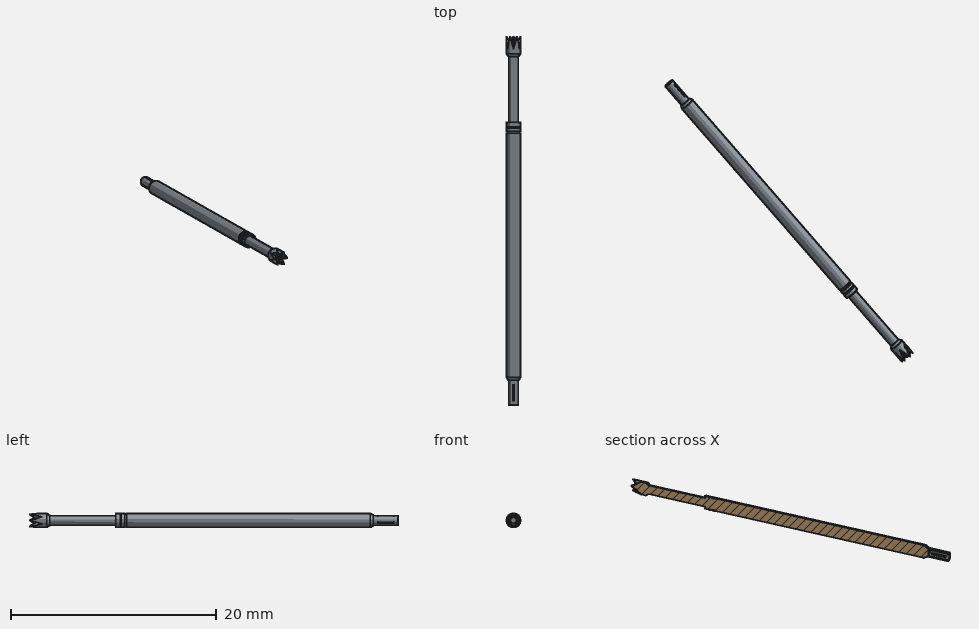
import cadquery as cq
import math

TOTAL_LENGTH = 35.81
TIP_Y = TOTAL_LENGTH / 2
TAIL_END_Y = -TOTAL_LENGTH / 2

BARREL_RADIUS = 1.37 / 2
BARREL_LENGTH = 25.05
TAIL_LENGTH = 2.42
BARREL_END_Y = TAIL_END_Y + TAIL_LENGTH
BARREL_MOUTH_Y = BARREL_END_Y + BARREL_LENGTH
BARREL_END_CHAMFER_LENGTH = 0.3
BARREL_END_RADIUS = 0.53

GROOVE_DEPTH = 0.06
GROOVES = ((0.49, 0.12), (0.97, 0.2))

PLUNGER_RADIUS = 0.95 / 2
HEAD_RADIUS = BARREL_RADIUS
HEAD_LENGTH = 1.66
HEAD_TAPER_LENGTH = 0.29
HEAD_BACK_Y = TIP_Y - HEAD_LENGTH
NECK_Y = HEAD_BACK_Y - HEAD_TAPER_LENGTH
TOOTH_COUNT = 6
NOTCH_DEPTH = 1.16
TIP_LAND_ANGLE = 1.5
NOTCH_HALF_ANGLE = 180 / TOOTH_COUNT - TIP_LAND_ANGLE
NOTCH_AXIS_DEPTH = 0.03
RIM_LAND = 0.02
SPIKE_TIP_RADIUS = 0.03
VALLEY_RADIUS = 0.3
VALLEY_DEPTH = 0.55

TAIL_RADIUS = 0.95 / 2
BORE_RADIUS = 0.3
BORE_DEPTH = 2.2
SLOT_COUNT = 3
SLOT_LENGTH = 1.55
SLOT_WIDTH = 0.12
SLOT_START = 0.42


def disc(radius, y_start, y_end):
    """Cylinder along Y between two positions."""
    plane = cq.Workplane("XZ", origin=(0, y_start, 0))
    return plane.circle(radius).extrude(-(y_end - y_start))


def make_body():
    """Turned outline of tail, barrel, plunger and head, revolved about Y."""
    profile = (
        cq.Workplane("XY")
        .moveTo(0, TAIL_END_Y)
        .lineTo(TAIL_RADIUS, TAIL_END_Y)
        .lineTo(TAIL_RADIUS, BARREL_END_Y)
        .lineTo(BARREL_END_RADIUS, BARREL_END_Y)
        .lineTo(BARREL_RADIUS, BARREL_END_Y + BARREL_END_CHAMFER_LENGTH)
        .lineTo(BARREL_RADIUS, BARREL_MOUTH_Y)
        .lineTo(PLUNGER_RADIUS, BARREL_MOUTH_Y)
        .lineTo(PLUNGER_RADIUS, NECK_Y)
        .lineTo(HEAD_RADIUS, HEAD_BACK_Y)
        .lineTo(HEAD_RADIUS, TIP_Y)
        .lineTo(HEAD_RADIUS - RIM_LAND, TIP_Y)
        .lineTo(VALLEY_RADIUS, TIP_Y - VALLEY_DEPTH)
        .lineTo(SPIKE_TIP_RADIUS, TIP_Y)
        .lineTo(0, TIP_Y)
        .close()
    )
    return profile.revolve(360, (0, 0, 0), (0, 1, 0))


def cut_grooves(body):
    """Shallow square grooves round the barrel just behind its mouth."""
    for distance, width in GROOVES:
        centre_y = BARREL_MOUTH_Y - distance
        start, end = centre_y - width / 2, centre_y + width / 2
        ring = disc(2 * BARREL_RADIUS, start, end).cut(disc(BARREL_RADIUS - GROOVE_DEPTH, start, end))
        body = body.cut(ring)
    return body


def make_notch():
    """V groove whose floor falls outward from the axis toward +Z, with walls rising to the tooth tips."""
    floor_fall = NOTCH_DEPTH - NOTCH_AXIS_DEPTH
    floor_length = math.hypot(HEAD_RADIUS, floor_fall)
    wall_slope = math.tan(math.radians(NOTCH_HALF_ANGLE)) * floor_length / floor_fall
    height = 3 * HEAD_RADIUS
    half_width = height * wall_slope
    section = cq.Plane(
        origin=(0, TIP_Y - NOTCH_AXIS_DEPTH, 0),
        xDir=(1, 0, 0),
        normal=(0, -floor_fall, HEAD_RADIUS),
    )
    triangle = cq.Workplane(section).polyline([(0, 0), (half_width, height), (-half_width, height)]).close()
    return triangle.extrude(2 * floor_length, both=True)


def cut_crown(body):
    """Sloping V notches between the teeth, one of them facing +Z."""
    notch = make_notch()
    for i in range(TOOTH_COUNT):
        body = body.cut(notch.rotate((0, 0, 0), (0, 1, 0), i * 360 / TOOTH_COUNT))
    return body


def cut_tail(body):
    """Blind bore from the open end, with long narrow slots through the tube wall."""
    body = body.cut(disc(BORE_RADIUS, TAIL_END_Y, TAIL_END_Y + BORE_DEPTH))
    slot = cq.Workplane("XY").box(SLOT_WIDTH, SLOT_LENGTH, TAIL_RADIUS, centered=(True, False, False))
    slot = slot.translate((0, TAIL_END_Y + SLOT_START, BORE_RADIUS / 2))
    for i in range(SLOT_COUNT):
        body = body.cut(slot.rotate((0, 0, 0), (0, 1, 0), i * 360 / SLOT_COUNT))
    return body


result = cut_tail(cut_crown(cut_grooves(make_body())))